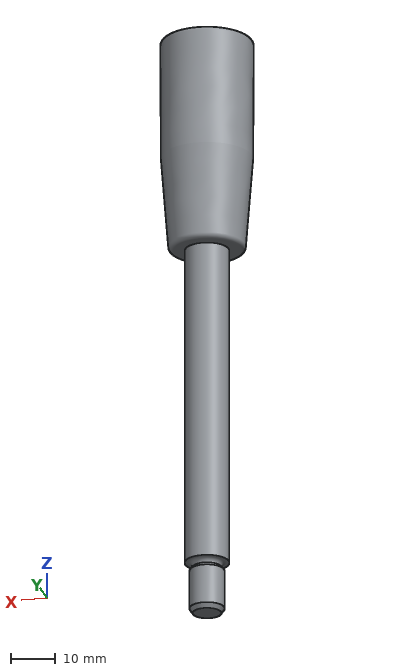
import cadquery as cq
import math

total_length = 137.0
stud_length = 12.0

grip_top_diameter = 21.0
grip_break_diameter = 20.7
grip_length = 50.0
grip_upper_length = 28.0
grip_bottom_diameter = 17.3
grip_top_radius = 1.0
grip_bottom_radius = 1.1

rod_diameter = 10.0
stud_diameter = 8.0
neck_diameter = 6.5
neck_fillet_radius = 1.1
neck_lower_height = 0.8
tip_diameter = 6.5
tip_chamfer_height = 1.1

grip_bottom_z = total_length - grip_length
break_z = total_length - grip_upper_length
neck_z = stud_length - neck_fillet_radius
neck_bottom_z = neck_z - neck_lower_height


def revolve_profile(points):
    """Turn a half outline of (radius, height) points about the Z axis."""
    return cq.Workplane("XZ").polyline(points).close().revolve(360, (0, 0, 0), (0, 1, 0))


def make_grip():
    """Two-stage barrel with rounded top and bottom rims."""
    barrel = revolve_profile([
        (0, grip_bottom_z),
        (grip_bottom_diameter / 2, grip_bottom_z),
        (grip_break_diameter / 2, break_z),
        (grip_top_diameter / 2, total_length),
        (0, total_length),
    ])
    barrel = barrel.faces(">Z").edges().fillet(grip_top_radius)
    return barrel.faces("<Z").edges().fillet(grip_bottom_radius)


def make_neck_fillet():
    """Concave ring blending the neck into the shoulder of the rod."""
    neck_radius = neck_diameter / 2
    center_radius = neck_radius + neck_fillet_radius
    arc_offset = neck_fillet_radius * math.sqrt(0.5)
    return (
        cq.Workplane("XZ")
        .moveTo(0, neck_z)
        .lineTo(neck_radius, neck_z)
        .threePointArc(
            (center_radius - arc_offset, neck_z + arc_offset),
            (center_radius, stud_length),
        )
        .lineTo(0, stud_length)
        .close()
        .revolve(360, (0, 0, 0), (0, 1, 0))
    )


def make_stud():
    """Stud with a chamfered tip, narrowing to the neck at its upper end."""
    return revolve_profile([
        (0, 0),
        (tip_diameter / 2, 0),
        (stud_diameter / 2, tip_chamfer_height),
        (stud_diameter / 2, neck_bottom_z),
        (neck_diameter / 2, neck_z),
        (0, neck_z),
    ])


def make_rod():
    """Plain cylinder from the shoulder above the stud to the underside of the grip."""
    rod_length = grip_bottom_z - stud_length
    return cq.Workplane("XY").workplane(offset=stud_length).circle(rod_diameter / 2).extrude(rod_length)


result = make_grip().union(make_rod()).union(make_neck_fillet()).union(make_stud())